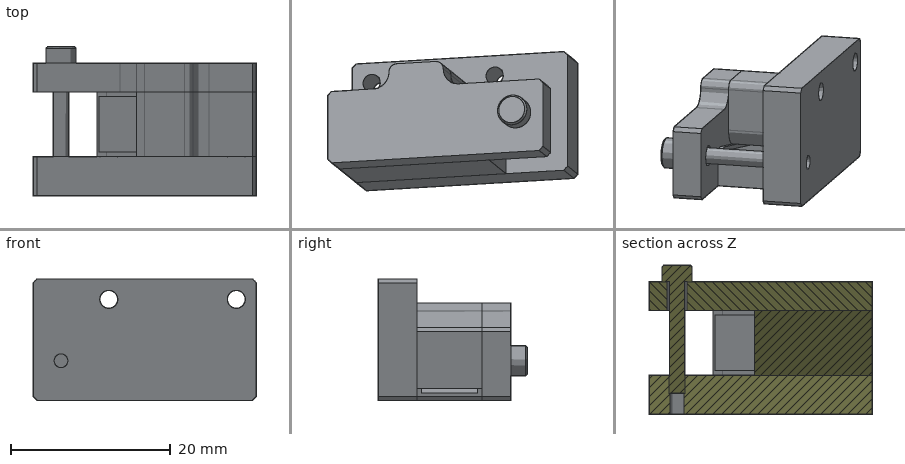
import cadquery as cq
import math

LENGTH = 28.0
BASE_HEIGHT = 15.25
BASE_THICKNESS = 4.9
JAW_WIDTH = 8.1
COVER_THICKNESS = 3.65
CORNER_CHAMFER = 0.5

JAW_START = BASE_THICKNESS
COVER_START = JAW_START + JAW_WIDTH
COVER_END = COVER_START + COVER_THICKNESS

SHOULDER_HEIGHT = 9.18
HUMP_CENTER = 16.5
HUMP_WIDTH = 7.05
HUMP_HEIGHT = 12.25
HUMP_FILLET = 1.0
HUMP_LEFT = HUMP_CENTER - HUMP_WIDTH / 2
HUMP_RIGHT = HUMP_CENTER + HUMP_WIDTH / 2
BLEND_RADIUS = HUMP_HEIGHT - HUMP_FILLET - SHOULDER_HEIGHT

JOINT_ANGLE = 10.0
JAW_LEFT = 8.0
NOSE_FILLET = 1.0
NOSE_SIDE_HEIGHT = 3.8
MOUTH_SIDE_HEIGHT = 6.02
CHANNEL_WIDTH = 6.97
CHANNEL_DEPTH = 0.5

MOUNT_DIAMETER = 2.2
MOUNT_XS = (9.5, 25.48)
MOUNT_Z = 12.68

SCREW_X = 3.5
SCREW_Z = 4.98
SHANK_DIAMETER = 2.0
SHANK_LENGTH = 14.0
HEAD_DIAMETER = 3.8
HEAD_HEIGHT = 2.07
HEAD_CHAMFER = 0.22
PILOT_DIAMETER = 1.7
CLEARANCE_DIAMETER = 2.5
SHANK_TIP = COVER_END - SHANK_LENGTH

SLOPE = math.radians(JOINT_ANGLE)
NOSE_CENTER_X = JAW_LEFT + NOSE_FILLET
JOINT_X = NOSE_CENTER_X + NOSE_FILLET * math.sin(SLOPE)
JOINT_Z = NOSE_SIDE_HEIGHT + NOSE_FILLET * math.cos(SLOPE)

MOUTH_TURN = math.pi / 2 - SLOPE


def joint_height(x):
    """Height of the sloping joint plane at a given X."""
    return JOINT_Z - (x - JOINT_X) * math.tan(SLOPE)


def section(y):
    """XZ sketch plane at the given Y, extruding toward +Y."""
    return cq.Workplane(cq.Plane(origin=(0, y, 0), xDir=(1, 0, 0), normal=(0, -1, 0)))


def rod(x, z, diameter, start, end):
    """Cylinder along Y between two Y positions."""
    return section(start).center(x, z).circle(diameter / 2).extrude(start - end)


def right_side_of_hump(outline):
    """Continue an outline from the hump top down to the chamfered right shoulder."""
    bend = math.sqrt(0.5)
    blend_center_x = HUMP_RIGHT + BLEND_RADIUS
    blend_center_z = SHOULDER_HEIGHT + BLEND_RADIUS
    fillet_center_x = HUMP_RIGHT - HUMP_FILLET
    return (
        outline.lineTo(fillet_center_x, HUMP_HEIGHT)
        .threePointArc(
            (fillet_center_x + HUMP_FILLET * bend, blend_center_z + HUMP_FILLET * bend),
            (HUMP_RIGHT, blend_center_z),
        )
        .threePointArc(
            (blend_center_x - BLEND_RADIUS * bend, blend_center_z - BLEND_RADIUS * bend),
            (blend_center_x, SHOULDER_HEIGHT),
        )
        .lineTo(LENGTH - CORNER_CHAMFER, SHOULDER_HEIGHT)
        .lineTo(LENGTH, SHOULDER_HEIGHT - CORNER_CHAMFER)
    )


def hump_top_left(outline):
    """Round the top left corner of the hump, starting on its vertical left side."""
    bend = math.sqrt(0.5)
    center_x = HUMP_LEFT + HUMP_FILLET
    center_z = HUMP_HEIGHT - HUMP_FILLET
    return outline.threePointArc(
        (center_x - HUMP_FILLET * bend, center_z + HUMP_FILLET * bend),
        (center_x, HUMP_HEIGHT),
    )


def make_base():
    """Base plate with two mounting holes and the stepped screw hole."""
    base = (
        cq.Workplane("XY")
        .box(LENGTH, BASE_THICKNESS, BASE_HEIGHT, centered=False)
        .edges("|Y")
        .chamfer(CORNER_CHAMFER)
    )
    for x in MOUNT_XS:
        base = base.cut(rod(x, MOUNT_Z, MOUNT_DIAMETER, 0, BASE_THICKNESS))
    base = base.cut(rod(SCREW_X, SCREW_Z, PILOT_DIAMETER, 0, SHANK_TIP))
    return base.cut(rod(SCREW_X, SCREW_Z, SHANK_DIAMETER, SHANK_TIP, BASE_THICKNESS))


def make_cover():
    """Cover plate with a hump blended into both shoulders and a screw clearance hole."""
    bend = math.sqrt(0.5)
    blend_center_x = HUMP_LEFT - BLEND_RADIUS
    blend_center_z = SHOULDER_HEIGHT + BLEND_RADIUS
    outline = (
        section(COVER_START)
        .moveTo(CORNER_CHAMFER, 0)
        .lineTo(0, CORNER_CHAMFER)
        .lineTo(0, SHOULDER_HEIGHT - CORNER_CHAMFER)
        .lineTo(CORNER_CHAMFER, SHOULDER_HEIGHT)
        .lineTo(blend_center_x, SHOULDER_HEIGHT)
        .threePointArc(
            (blend_center_x + BLEND_RADIUS * bend, blend_center_z - BLEND_RADIUS * bend),
            (HUMP_LEFT, blend_center_z),
        )
    )
    outline = right_side_of_hump(hump_top_left(outline))
    outline = outline.lineTo(LENGTH, CORNER_CHAMFER).lineTo(LENGTH - CORNER_CHAMFER, 0).close()
    cover = outline.extrude(-COVER_THICKNESS)
    return cover.cut(rod(SCREW_X, SCREW_Z, CLEARANCE_DIAMETER, COVER_START, COVER_END))


def make_upper_jaw():
    """Upper jaw: the hump above the joint, with a rounded mouth above the nose."""
    tangent_length = MOUTH_SIDE_HEIGHT - joint_height(HUMP_LEFT)
    radius = tangent_length / math.tan(MOUTH_TURN / 2)
    tangent_x = HUMP_LEFT + tangent_length * math.cos(SLOPE)
    arc_middle = (
        HUMP_LEFT + radius * (1 - math.cos(MOUTH_TURN / 2)),
        MOUTH_SIDE_HEIGHT - radius * math.sin(MOUTH_TURN / 2),
    )
    outline = (
        section(JAW_START)
        .moveTo(tangent_x, joint_height(tangent_x))
        .threePointArc(arc_middle, (HUMP_LEFT, MOUTH_SIDE_HEIGHT))
        .lineTo(HUMP_LEFT, HUMP_HEIGHT - HUMP_FILLET)
    )
    outline = right_side_of_hump(hump_top_left(outline))
    return outline.lineTo(LENGTH, joint_height(LENGTH)).close().extrude(-JAW_WIDTH)


def make_lower_jaw():
    """Lower jaw with a rounded nose and a shallow channel along its sloping top."""
    arc_angle = (math.pi / 2 + SLOPE) / 2
    jaw = (
        section(JAW_START)
        .moveTo(JAW_LEFT, 0)
        .lineTo(JAW_LEFT, NOSE_SIDE_HEIGHT)
        .threePointArc(
            (
                NOSE_CENTER_X - NOSE_FILLET * math.cos(arc_angle),
                NOSE_SIDE_HEIGHT + NOSE_FILLET * math.sin(arc_angle),
            ),
            (JOINT_X, JOINT_Z),
        )
        .lineTo(LENGTH, joint_height(LENGTH))
        .lineTo(LENGTH, CORNER_CHAMFER)
        .lineTo(LENGTH - CORNER_CHAMFER, 0)
        .close()
        .extrude(-JAW_WIDTH)
    )
    vertical_depth = CHANNEL_DEPTH / math.cos(SLOPE)
    channel = (
        section(JAW_START + (JAW_WIDTH - CHANNEL_WIDTH) / 2)
        .moveTo(JAW_LEFT, joint_height(JAW_LEFT))
        .lineTo(LENGTH, joint_height(LENGTH))
        .lineTo(LENGTH, joint_height(LENGTH) - vertical_depth)
        .lineTo(JAW_LEFT, joint_height(JAW_LEFT) - vertical_depth)
        .close()
        .extrude(-CHANNEL_WIDTH)
    )
    return jaw.cut(channel)


def make_screw():
    """Clamp screw with a chamfered cylindrical head on the cover."""
    head = rod(SCREW_X, SCREW_Z, HEAD_DIAMETER, COVER_END, COVER_END + HEAD_HEIGHT)
    head = head.faces(">Y").chamfer(HEAD_CHAMFER)
    return head.union(rod(SCREW_X, SCREW_Z, SHANK_DIAMETER, SHANK_TIP, COVER_END))


base = make_base()
cover = make_cover()
upper_jaw = make_upper_jaw()
lower_jaw = make_lower_jaw()
screw = make_screw()

result = cq.Compound.makeCompound(
    [base.val(), cover.val(), upper_jaw.val(), lower_jaw.val(), screw.val()]
)